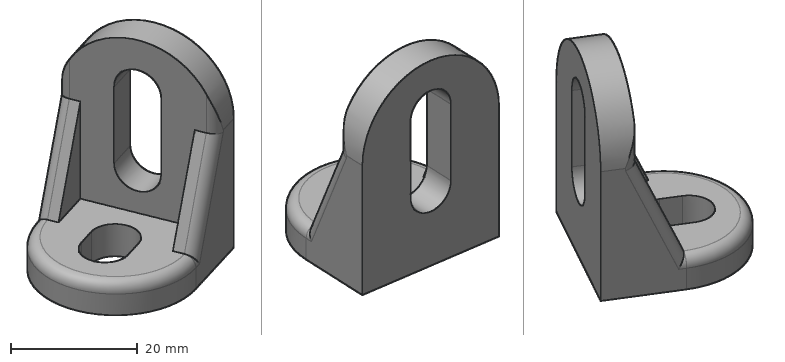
import cadquery as cq

width = 28.0
height = 38.0
thickness = 6.0
rib_thickness = 4.0
edge_radius = 2.0

slot_width = 8.25
wall_slot_length = 22.4
wall_slot_center_z = 21.25
base_slot_length = 12.0
base_slot_center_y = -16.15

end_radius = width / 2
depth = width
wall_arc_z = height - end_radius
base_arc_y = end_radius - depth
inner_width = width - 2 * rib_thickness


def extrude_across(points, span):
    """Extrude a (Y, Z) outline symmetrically about the X = 0 plane."""
    return cq.Workplane("YZ").polyline(points).close().extrude(span / 2, both=True)


def tongue(plane, arc_center, tip, length):
    """Plate with one straight end and one round end, extruded from its plane."""
    return (
        cq.Workplane(plane)
        .moveTo(-end_radius, 0)
        .lineTo(-end_radius, arc_center)
        .threePointArc((0, tip), (end_radius, arc_center))
        .lineTo(end_radius, 0)
        .close()
        .extrude(length)
    )


base = tongue("XY", base_arc_y, -depth, thickness)
base = base.faces(">Z").edges("not >Y").fillet(edge_radius)

wall = (
    cq.Workplane("XY")
    .box(width, thickness, height, centered=(True, False, False))
    .translate((0, -thickness, 0))
    .edges("|Z and <Y")
    .fillet(edge_radius)
    .intersect(tongue("XZ", wall_arc_z, height, thickness))
)

rib_back_z = wall_arc_z + thickness * (wall_arc_z - thickness) / (-base_arc_y - thickness)
wedge_profile = [
    (0, 0),
    (base_arc_y, 0),
    (base_arc_y, thickness),
    (0, rib_back_z),
]
wedge = extrude_across(wedge_profile, width)
wedge = wedge.faces("not (|X or |Y or |Z)").edges("<X or >X").fillet(edge_radius)
wedge = wedge.intersect(cq.Workplane("XY").box(width, 2 * depth, 2 * wall_arc_z))

body = wall.union(wedge).union(base)

pocket = [
    (-thickness, thickness),
    (-depth, thickness),
    (-depth, height),
    (-thickness, height),
]
body = body.cut(extrude_across(pocket, inner_width))

wall_slot = (
    cq.Workplane("XZ")
    .center(0, wall_slot_center_z)
    .slot2D(wall_slot_length, slot_width, 90)
    .extrude(thickness)
)
base_slot = (
    cq.Workplane("XY")
    .center(0, base_slot_center_y)
    .slot2D(base_slot_length, slot_width, 90)
    .extrude(thickness)
)
result = body.cut(wall_slot).cut(base_slot)